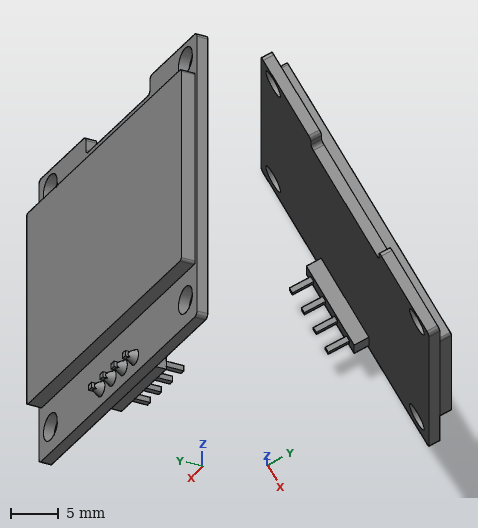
import cadquery as cq

board_width = 35.7
board_height = 34.0
board_thickness = 1.3
corner_radius = 0.5

notch_width = 14.42
notch_depth = 2.15

hole_diameter = 3.1
hole_side_inset = 2.6
hole_top_inset = 2.18
hole_bottom_inset = 3.1

panel_width = 34.9
panel_height = 22.95
panel_thickness = 1.65
panel_top_inset = 4.65
panel_corner_radius = 0.3

pin_count = 4
pin_pitch = 2.55
pin_size = 0.65
pin_front_length = 2.57
pin_back_length = 1.3
header_width = pin_count * pin_pitch
header_height = pin_pitch
header_depth = 1.8
header_bottom_inset = 0.68

solder_base_diameter = 1.7
solder_tip_diameter = 0.65
solder_height = 0.95

board_top = board_height / 2
board_bottom = -board_height / 2
hole_x = board_width / 2 - hole_side_inset
panel_z = board_top - panel_top_inset - panel_height / 2
header_z = board_bottom + header_bottom_inset + header_height / 2
pin_start_y = -header_depth - pin_front_length
pin_end_y = board_thickness + pin_back_length


def block(width, height, start_y, end_y, x=0, z=0):
    """Box centred on (x, z) that spans start_y to end_y."""
    depth = end_y - start_y
    return cq.Workplane("XY").box(width, depth, height).translate((x, start_y + depth / 2, z))


def make_board():
    board = block(board_width, board_height, 0, board_thickness)
    notch = block(notch_width, 2 * notch_depth, 0, board_thickness, z=board_top)
    board = board.cut(notch).edges("|Y").fillet(corner_radius)
    hole_centres = [
        (x, z)
        for x in (-hole_x, hole_x)
        for z in (board_bottom + hole_bottom_inset, board_top - hole_top_inset)
    ]
    holes = (
        cq.Workplane("XZ")
        .pushPoints(hole_centres)
        .circle(hole_diameter / 2)
        .extrude(-board_thickness)
    )
    return board.cut(holes)


def make_panel():
    panel_back = board_thickness + panel_thickness
    panel = block(panel_width, panel_height, board_thickness, panel_back, z=panel_z)
    return panel.edges("|Y").fillet(panel_corner_radius)


def make_pin(x):
    """Square pin through the board with its solder cone."""
    pin = block(pin_size, pin_size, pin_start_y, pin_end_y, x, header_z)
    cone = cq.Solid.makeCone(
        solder_base_diameter / 2,
        solder_tip_diameter / 2,
        solder_height,
        cq.Vector(x, board_thickness, header_z),
        cq.Vector(0, 1, 0),
    )
    return pin.union(cq.Workplane(cone))


result = make_board().union(make_panel())
result = result.union(block(header_width, header_height, -header_depth, 0, z=header_z))
for index in range(pin_count):
    pin_x = (index - (pin_count - 1) / 2) * pin_pitch
    result = result.union(make_pin(pin_x))